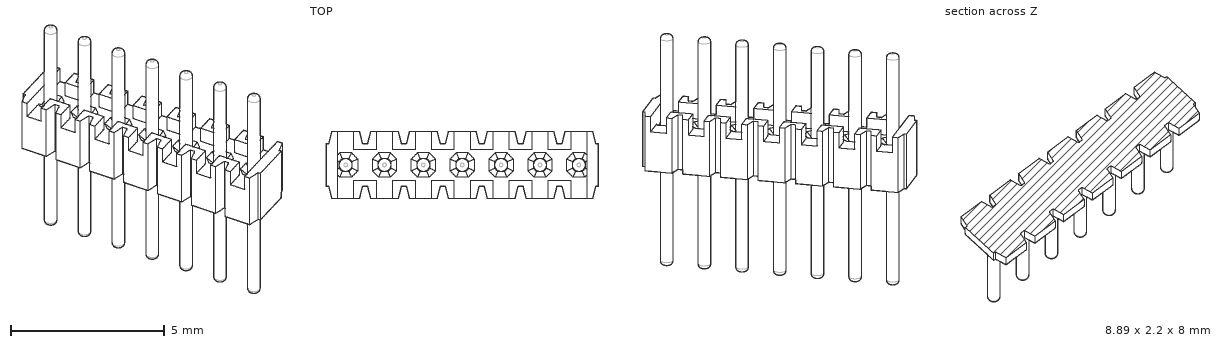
import cadquery as cq
import math

PIN_COUNT = 7
PITCH = 1.27
PIN_DIAMETER = 0.42
PIN_BOTTOM = -3.6
PIN_TOP = 4.4
TIP_RADIUS = 0.15

BODY_LENGTH = PIN_COUNT * PITCH
BODY_WIDTH = 2.2
BODY_HEIGHT = 1.9

NOTCH_DEPTH = 0.4
NOTCH_MOUTH = 0.36
NOTCH_ROOT = 0.16

CHANNEL_DEPTH = 0.53
CHANNEL_WIDTH = 1.0
CROSS_SLOT_WIDTH = 0.53

FUNNEL_WIDTH = 0.8
FUNNEL_CORNER_CUT = 0.21

floor_z = BODY_HEIGHT - CHANNEL_DEPTH
funnel_depth = (FUNNEL_WIDTH - PIN_DIAMETER) / 2
channel_length = BODY_LENGTH - PITCH + CROSS_SLOT_WIDTH
pin_positions = [(i - (PIN_COUNT - 1) / 2) * PITCH for i in range(PIN_COUNT)]
notch_positions = [(i - PIN_COUNT / 2) * PITCH for i in range(PIN_COUNT + 1)]


def box_on(z, length, width, height, x=0):
    """Box centred on (x, 0) with its bottom face at height z."""
    return cq.Workplane("XY").box(length, width, height, centered=(True, True, False)).translate((x, 0, z))


def notch(x, side):
    """Full-height trapezoidal notch at x, on the +Y (side = 1) or -Y (side = -1) face."""
    mouth_y = side * BODY_WIDTH / 2
    root_y = side * (BODY_WIDTH / 2 - NOTCH_DEPTH)
    outline = [
        (x - NOTCH_MOUTH / 2, mouth_y),
        (x - NOTCH_ROOT / 2, root_y),
        (x + NOTCH_ROOT / 2, root_y),
        (x + NOTCH_MOUTH / 2, mouth_y),
    ]
    return cq.Workplane("XY").polyline(outline).close().extrude(BODY_HEIGHT)


def cut_corner_square(plane, inset):
    """Funnel outline with every side, corner cuts included, moved inwards by inset."""
    half_width = FUNNEL_WIDTH / 2 - inset
    half_bend = math.radians(45) / 2
    half_flat = FUNNEL_WIDTH / 2 - FUNNEL_CORNER_CUT - inset * math.tan(half_bend)
    corners = [
        (half_width, half_flat),
        (half_flat, half_width),
        (-half_flat, half_width),
        (-half_width, half_flat),
        (-half_width, -half_flat),
        (-half_flat, -half_width),
        (half_flat, -half_width),
        (half_width, -half_flat),
    ]
    return plane.polyline(corners).close()


def funnel(x):
    """Funnel narrowing from the channel floor down to the width of the pin."""
    top = cut_corner_square(cq.Workplane("XY").workplane(offset=floor_z), 0)
    solid = cut_corner_square(top.workplane(offset=-funnel_depth), funnel_depth).loft(ruled=True)
    return solid.translate((x, 0, 0))


def pin(x):
    """Round pin with rounded ends that finish in a small flat."""
    shaft = cq.Workplane("XY").circle(PIN_DIAMETER / 2).extrude(PIN_TOP - PIN_BOTTOM)
    return shaft.faces("<Z or >Z").edges().fillet(TIP_RADIUS).translate((x, 0, PIN_BOTTOM))


def make_body():
    body = box_on(0, BODY_LENGTH, BODY_WIDTH, BODY_HEIGHT)
    for x in notch_positions:
        for side in (-1, 1):
            body = body.cut(notch(x, side))
    channel = box_on(floor_z, channel_length, CHANNEL_WIDTH, CHANNEL_DEPTH)
    body = body.cut(channel)
    for x in pin_positions:
        body = body.cut(box_on(floor_z, CROSS_SLOT_WIDTH, BODY_WIDTH, CHANNEL_DEPTH, x))
    funnel_limit = box_on(0, channel_length, CHANNEL_WIDTH, BODY_HEIGHT)
    for x in pin_positions:
        body = body.cut(funnel(x).intersect(funnel_limit))
    return body


result = make_body()
for pin_x in pin_positions:
    result = result.union(pin(pin_x))